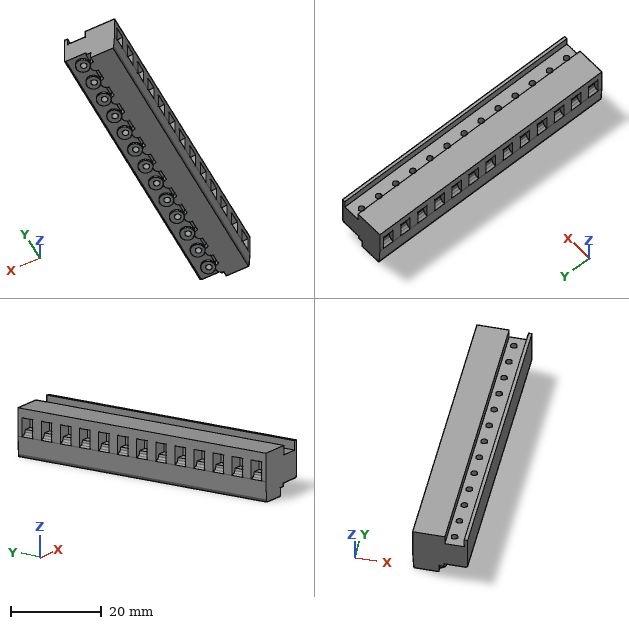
import cadquery as cq

POLES = 13
LENGTH = 65.0
PITCH = LENGTH / POLES

DEPTH = 12.4
HEIGHT = 11.3

CHANNEL_X = 7.3
CHANNEL_FLOOR_Z = 9.15
LIP_THICKNESS = 0.8

FOOT_X = 5.9
STEP_X = 7.1
STEP_Z = 1.95
BASE_Z = 2.7
CORNER_CHAMFER = 0.4

LEAN_TOP_Z = 4.8
LEAN_INSET = 0.23
BAND_HEIGHT = 0.2
UPPER_BAND_INSET = 0.25
MIDDLE_BAND_INSET = 0.305
LOWER_BAND_INSET = 0.4

ENTRY_WIDTH = 2.7
ENTRY_TOP_Z = 9.15
ENTRY_INNER_TOP_Z = 8.8
ENTRY_DEPTH = 3.25
SLOPE_END_X, SLOPE_END_Z = 0.65, 5.15
CURVE_MID_X, CURVE_MID_Z = 0.9, 5.25
CURVE_END_X, CURVE_END_Z = 1.1, 5.65
LEDGE_X, LEDGE_Z = 1.3, 6.2

SCREW_X = 8.9
SCREW_DIAMETER = 1.4
COLLAR_X = 9.1
COLLAR_DIAMETER = 3.3
COLLAR_BOTTOM_Z = 2.2
RIB_RADIUS = 1.25


def extrude_section(outline, width, center_y):
    """Extrude an XZ outline along Y, centred on center_y."""
    return outline.extrude(width / 2, both=True).translate((0, center_y, 0))


def make_body():
    outline = (
        cq.Workplane("XZ")
        .moveTo(0, HEIGHT)
        .lineTo(CHANNEL_X, HEIGHT)
        .lineTo(CHANNEL_X, CHANNEL_FLOOR_Z)
        .lineTo(DEPTH - LIP_THICKNESS, CHANNEL_FLOOR_Z)
        .lineTo(DEPTH - LIP_THICKNESS, HEIGHT)
        .lineTo(DEPTH, HEIGHT)
        .lineTo(DEPTH, BASE_Z + CORNER_CHAMFER)
        .lineTo(DEPTH - CORNER_CHAMFER, BASE_Z)
        .lineTo(STEP_X, BASE_Z)
        .lineTo(STEP_X, STEP_Z)
        .lineTo(FOOT_X, STEP_Z)
        .lineTo(FOOT_X, 0)
        .lineTo(LOWER_BAND_INSET, 0)
        .lineTo(MIDDLE_BAND_INSET, BAND_HEIGHT)
        .lineTo(UPPER_BAND_INSET, 2 * BAND_HEIGHT)
        .lineTo(LEAN_INSET, 3 * BAND_HEIGHT)
        .lineTo(0, LEAN_TOP_Z)
        .close()
    )
    return extrude_section(outline, LENGTH, 0)


def make_wire_entry(center_y):
    """Funnel with a sloped, curved and stepped floor and a sloped ceiling."""
    outline = (
        cq.Workplane("XZ")
        .moveTo(0, LEAN_TOP_Z)
        .lineTo(SLOPE_END_X, SLOPE_END_Z)
        .threePointArc((CURVE_MID_X, CURVE_MID_Z), (CURVE_END_X, CURVE_END_Z))
        .lineTo(LEDGE_X, LEDGE_Z)
        .lineTo(ENTRY_DEPTH, LEDGE_Z)
        .lineTo(ENTRY_DEPTH, ENTRY_INNER_TOP_Z)
        .lineTo(0, ENTRY_TOP_Z)
        .close()
    )
    return extrude_section(outline, ENTRY_WIDTH, center_y)


def make_cylinder(x, y, radius, bottom_z, top_z):
    return (
        cq.Workplane("XY", origin=(x, y, bottom_z))
        .circle(radius)
        .extrude(top_z - bottom_z)
    )


result = make_body()
for pole in range(POLES):
    pole_y = (pole - (POLES - 1) / 2) * PITCH
    collar = make_cylinder(COLLAR_X, pole_y, COLLAR_DIAMETER / 2, COLLAR_BOTTOM_Z, CHANNEL_FLOOR_Z)
    rib = make_cylinder(FOOT_X, pole_y, RIB_RADIUS, 0, BASE_Z)
    screw_hole = make_cylinder(SCREW_X, pole_y, SCREW_DIAMETER / 2, 0, HEIGHT)
    result = result.union(collar).union(rib)
    result = result.cut(screw_hole).cut(make_wire_entry(pole_y))